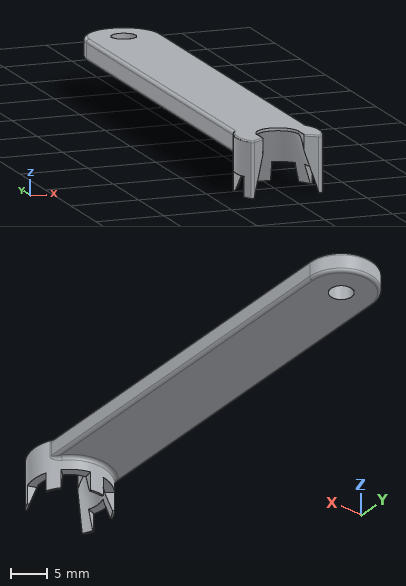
import cadquery as cq
import math

handle_width = 11.05
handle_thickness = 3.15
handle_edge_radius = 0.5
overall_length = 69.9
hang_hole_diameter = 3.55

head_diameter = 12.4
head_radius = head_diameter / 2
head_depth = 5.25
head_edge_radius = 0.2
tooth_depth = 8.2
neck_fillet_radius = 0.55

slot_width = 6.1
flare_start_depth = 0.4
flare_bottom_radius = 5.9
mouth_face_angle = 35.5
tip_radius = 0.35

tooth_pitch = 60
gap_angle = 39
gap_directions = [i * tooth_pitch for i in range(4)]

tip_center_offset = math.asin(tip_radius / (head_radius - tip_radius))
tip_center_angle = math.radians(mouth_face_angle) - tip_center_offset
open_end_y = -(head_radius - tip_radius) * math.sin(tip_center_angle) - tip_radius
handle_end_y = open_end_y + overall_length
hang_hole_y = handle_end_y - handle_width / 2


def wedge(direction, angle, top_z, bottom_z):
    """Prism with its apex on the head axis, reaching past the head wall."""
    reach = 2 * head_radius
    corners = [
        (reach * math.cos(math.radians(a)), reach * math.sin(math.radians(a)))
        for a in (direction - angle / 2, direction + angle / 2)
    ]
    return (
        cq.Workplane("XY", origin=(0, 0, bottom_z))
        .polyline([(0, 0)] + corners)
        .close()
        .extrude(top_z - bottom_z)
    )


def make_handle():
    """Bar with a round far end and rounded edges, starting at the head axis."""
    half_width = handle_width / 2
    return (
        cq.Workplane("XY")
        .moveTo(-half_width, 0)
        .lineTo(half_width, 0)
        .lineTo(half_width, hang_hole_y)
        .threePointArc((0, handle_end_y), (-half_width, hang_hole_y))
        .close()
        .extrude(-handle_thickness)
        .edges("(|Y or %CIRCLE) and (not |Z)")
        .fillet(handle_edge_radius)
    )


def make_head():
    """Solid disc with the mouth wedge removed and its edges rounded."""
    disc = cq.Workplane("XY").circle(head_radius).extrude(-tooth_depth)
    mouth_angle = 180 - 2 * mouth_face_angle
    jaw = disc.cut(wedge(-90, mouth_angle, 0, -tooth_depth))
    jaw = jaw.edges("|Z").edges("<Y").fillet(tip_radius)
    return jaw.faces(">Z").edges().fillet(head_edge_radius)


def fillet_neck(body):
    """Blend the bar underside and its rounded edges into the head wall."""
    margin = 0.1
    neck_top_z = -handle_thickness + handle_edge_radius
    neck_zone = cq.selectors.BoxSelector(
        (-handle_width / 2 - margin, margin, -handle_thickness - margin),
        (handle_width / 2 + margin, head_radius + margin, neck_top_z - margin),
    )
    return body.edges(neck_zone).fillet(neck_fillet_radius)


def make_mouth_cutter():
    """Straight slot with a round end, plus the cone opening below it."""
    slot_radius = slot_width / 2
    slot = (
        cq.Workplane("XY")
        .circle(slot_radius)
        .extrude(-tooth_depth)
        .union(
            cq.Workplane("XY")
            .rect(slot_width, head_radius)
            .extrude(-tooth_depth)
            .translate((0, -head_radius / 2, 0))
        )
    )
    cone = cq.Workplane("XY").add(
        cq.Solid.makeCone(
            slot_radius,
            flare_bottom_radius,
            tooth_depth - flare_start_depth,
            pnt=cq.Vector(0, 0, -flare_start_depth),
            dir=cq.Vector(0, 0, -1),
        )
    )
    return slot.union(cone)


result = fillet_neck(make_handle().union(make_head()))
result = result.cut(make_mouth_cutter())
for direction in gap_directions:
    result = result.cut(wedge(direction, gap_angle, -head_depth, -tooth_depth))

hang_hole = (
    cq.Workplane("XY")
    .center(0, hang_hole_y)
    .circle(hang_hole_diameter / 2)
    .extrude(-handle_thickness)
)
result = result.cut(hang_hole)